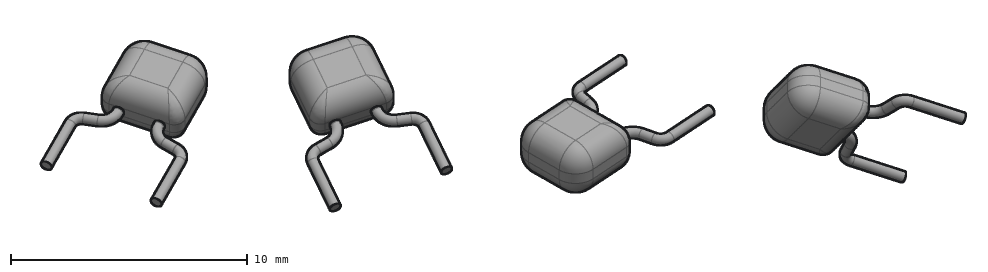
import cadquery as cq
import math

overall_length = 7.61
housing_width = 3.805
housing_length = 3.61
housing_height = 2.54
lead_diameter = 0.51

cap_radius = (housing_height - lead_diameter) / 2
front_corner_radius = 0.5

lead_root_x = 0.94
lead_end_x = 2.54
lead_reach = overall_length - housing_length
lead_straight_length = 2.53
root_bend_radius = 0.76
end_bend_radius = 0.52
slope_angle = math.radians(13)


def make_housing():
    """Rounded block with large edge rounds and tighter front corners."""
    block = cq.Workplane("XY").box(
        housing_width, housing_length, housing_height, centered=(True, False, True)
    )
    block = block.edges("|Z and >Y").fillet(cap_radius)
    block = block.faces("<Z or >Z").edges().fillet(cap_radius)
    return block.edges("|Z and <Y").fillet(front_corner_radius)


def make_lead(side):
    """Round wire bent in an S; side is -1 for left and +1 for right."""
    turn = math.pi / 2 - slope_angle
    end_y = lead_straight_length - lead_reach
    end_corner_y = end_y + end_bend_radius * math.tan(turn / 2)
    root_corner_y = end_corner_y + (lead_end_x - lead_root_x) * math.tan(slope_angle)
    root_y = root_corner_y + root_bend_radius * math.tan(turn / 2)
    root_centre_x = lead_root_x + root_bend_radius
    end_centre_x = lead_end_x - end_bend_radius

    def root_arc(angle):
        return (
            side * (root_centre_x - root_bend_radius * math.cos(angle)),
            root_y - root_bend_radius * math.sin(angle),
        )

    def end_arc(angle):
        return (
            side * (end_centre_x + end_bend_radius * math.cos(angle)),
            end_y + end_bend_radius * math.sin(angle),
        )

    path = (
        cq.Workplane("XY")
        .moveTo(side * lead_root_x, 0)
        .lineTo(*root_arc(0))
        .threePointArc(root_arc(turn / 2), root_arc(turn))
        .lineTo(*end_arc(turn))
        .threePointArc(end_arc(turn / 2), end_arc(0))
        .lineTo(side * lead_end_x, -lead_reach)
    )
    profile = cq.Workplane("XZ").center(side * lead_root_x, 0).circle(lead_diameter / 2)
    return profile.sweep(path)


housing = make_housing()
leads = [make_lead(side) for side in (-1, 1)]

result = cq.Compound.makeCompound([housing.val(), *[lead.val() for lead in leads]])